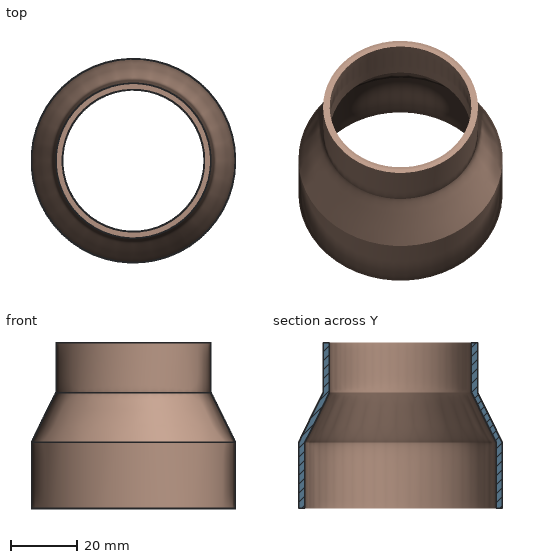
import cadquery as cq

large_diameter = 61.5
small_diameter = 46.7
large_bore_diameter = 57.5
small_bore_diameter = 42.7
total_height = 50.0
large_height = 20.0
small_height = 15.0

cone_bottom = large_height
cone_top = total_height - small_height


def stepped_cone(lower_diameter, upper_diameter):
    """Solid of revolution: wide cylinder, cone, then narrow cylinder."""
    lower_radius = lower_diameter / 2
    upper_radius = upper_diameter / 2
    return (
        cq.Workplane("XZ")
        .moveTo(0, 0)
        .lineTo(lower_radius, 0)
        .lineTo(lower_radius, cone_bottom)
        .lineTo(upper_radius, cone_top)
        .lineTo(upper_radius, total_height)
        .lineTo(0, total_height)
        .close()
        .revolve(360, (0, 0, 0), (0, 1, 0))
    )


body = stepped_cone(large_diameter, small_diameter)
bore = stepped_cone(large_bore_diameter, small_bore_diameter)
result = body.cut(bore)